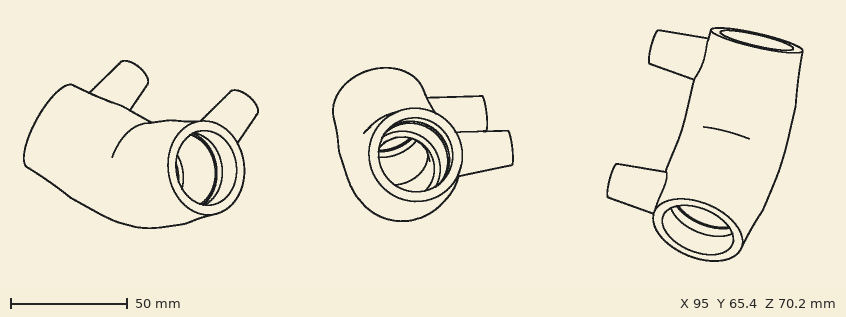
import cadquery as cq
import math

overall_length = 95.0
bend_angle = 45.0
bend_radius = 20.0
body_radius = 45.0 / 2
mouth_radius = 40.4 / 2
taper_length = 23.9
taper_mid_rise = 0.34

bend_sine = math.sin(math.radians(bend_angle))
leg_length = (overall_length - (bend_radius + mouth_radius) * bend_sine) / (1 + bend_sine)

socket_radius = 32.0 / 2
bend_bore_radius = 27.0 / 2
groove_radius = 33.7 / 2
groove_start = 10.45
groove_end = 15.6

terminal_reach = 42.9
terminal_tip_radius = 15.0 / 2
terminal_draft = 5.0
terminal_offset = 14.0


def at_outlet(shape):
    """Mirror an inlet leg across the plane that halves the bend."""
    pivot = (leg_length, 0, bend_radius)
    half_angle = math.radians(bend_angle / 2)
    normal = cq.Vector(math.cos(half_angle), 0, math.sin(half_angle))
    return shape.mirror(normal, pivot)


def leg_outside():
    """Flared sleeve followed by a plain cylinder, turned about the X axis."""
    flare_mid_radius = mouth_radius + taper_mid_rise * (body_radius - mouth_radius)
    return (
        cq.Workplane("XY")
        .lineTo(0, mouth_radius)
        .threePointArc((taper_length / 2, flare_mid_radius), (taper_length, body_radius))
        .lineTo(leg_length, body_radius)
        .lineTo(leg_length, 0)
        .close()
        .revolve(360, (0, 0, 0), (1, 0, 0))
    )


def terminal():
    """Tapered pin starting on the leg axis; the socket removes its inner end."""
    root_radius = terminal_tip_radius + terminal_reach * math.tan(math.radians(terminal_draft))
    cone = cq.Solid.makeCone(
        root_radius,
        terminal_tip_radius,
        terminal_reach,
        cq.Vector(terminal_offset, 0, 0),
        cq.Vector(0, 1, 0),
    )
    return cq.Workplane("XY").add(cone)


def socket():
    """Leg bore with a shallow groove around it."""
    bore = cq.Workplane("YZ").circle(socket_radius).extrude(leg_length)
    groove = (
        cq.Workplane("YZ", origin=(groove_start, 0, 0))
        .circle(groove_radius)
        .extrude(groove_end - groove_start)
    )
    return bore.union(groove)


def bend(radius):
    """Round section turned about the bend pivot, cut off where it reaches past the pivot axis."""
    section = cq.Workplane("YZ", origin=(leg_length, 0, 0))
    if radius <= bend_radius:
        section = section.circle(radius)
    else:
        half_width = math.sqrt(radius**2 - bend_radius**2)
        section = (
            section
            .moveTo(-half_width, bend_radius)
            .threePointArc((0, -radius), (half_width, bend_radius))
            .close()
        )
    turned = section.revolve(bend_angle, (0, bend_radius), (-1, bend_radius))
    return cq.Workplane("XY").add(turned.val().toNURBS())


leg = leg_outside().union(terminal())
outside = leg.union(bend(body_radius)).union(at_outlet(leg))
passage = socket().union(bend(bend_bore_radius)).union(at_outlet(socket()))
result = outside.cut(passage)